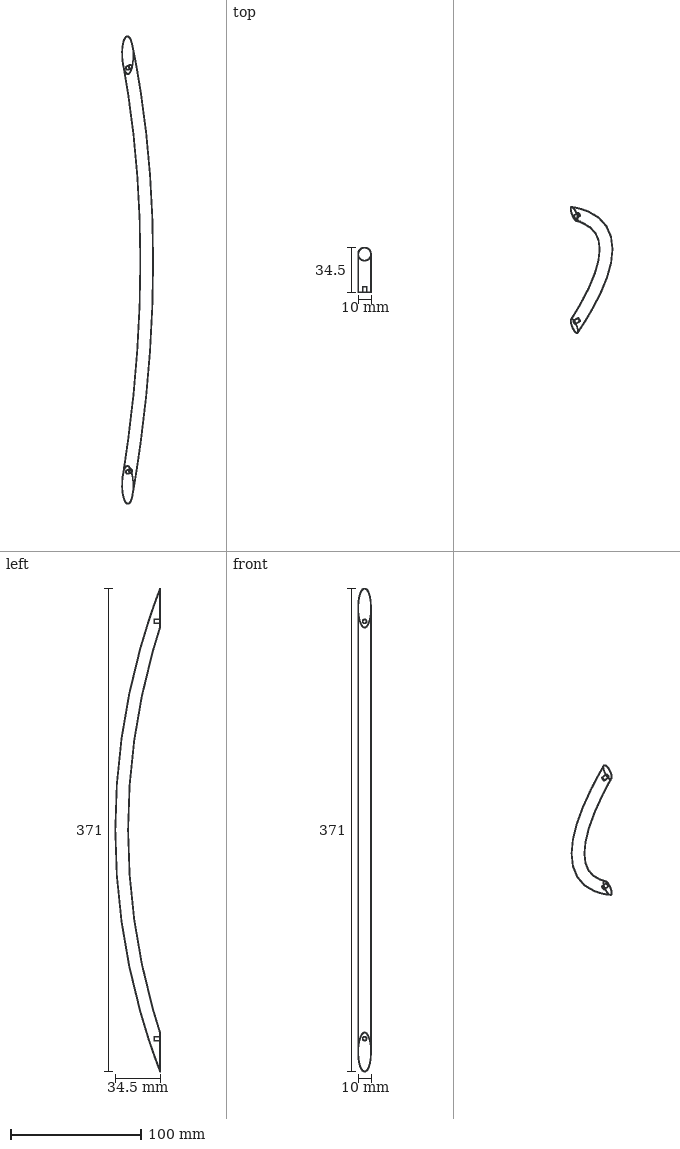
import cadquery as cq
import math

length = 371.0
rise = 34.5
rod_diameter = 10.0
hole_diameter = 3.0
hole_depth = 4.5
hole_height = 160.3

half_length = length / 2
outer_radius = (half_length**2 + rise**2) / (2 * rise)
bend_radius = outer_radius - rod_diameter / 2
bend_center_y = rise - outer_radius


def bowed_rod():
    """Round rod bent about an X axis, with ends running past the mounting plane."""
    tip_angle = math.degrees(math.asin(half_length / outer_radius))
    overrun_angle = 3.0
    half_angle = tip_angle + overrun_angle
    return (
        cq.Workplane("XY")
        .center(0, bend_radius)
        .circle(rod_diameter / 2)
        .revolve(2 * half_angle, (0, -bend_radius, 0), (1, -bend_radius, 0))
        .rotate((0, 0, 0), (1, 0, 0), -half_angle)
        .translate((0, bend_center_y, 0))
    )


def space_above_mounting_plane():
    """Block on the +Y side of the mounting plane, larger than the bow."""
    margin = rod_diameter
    return cq.Workplane("XY").box(
        rod_diameter + 2 * margin, rise + margin, length + 2 * margin, centered=(True, False, True)
    )


def mounting_hole(height):
    """Blind hole cutter going square into the flat end face."""
    return cq.Workplane("XZ", origin=(0, 0, height)).circle(hole_diameter / 2).extrude(-hole_depth)


result = bowed_rod().intersect(space_above_mounting_plane())
for side in (-1, 1):
    result = result.cut(mounting_hole(side * hole_height))